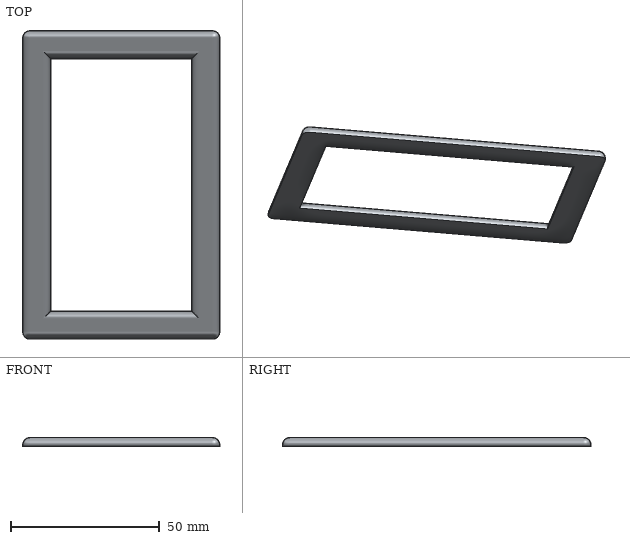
import cadquery as cq

width = 66.3
length = 103.8
thickness = 3.0

border = 9.4
window_width = width - 2 * border
window_length = length - 2 * border

edge_radius = 2.5

plate = (
    cq.Workplane("XY")
    .box(width, length, thickness, centered=(True, True, False))
    .edges("|Z")
    .fillet(edge_radius)
)

window = cq.Workplane("XY").box(
    window_width, window_length, thickness, centered=(True, True, False)
)
frame = plate.cut(window)

result = frame.faces(">Z").edges().fillet(edge_radius)